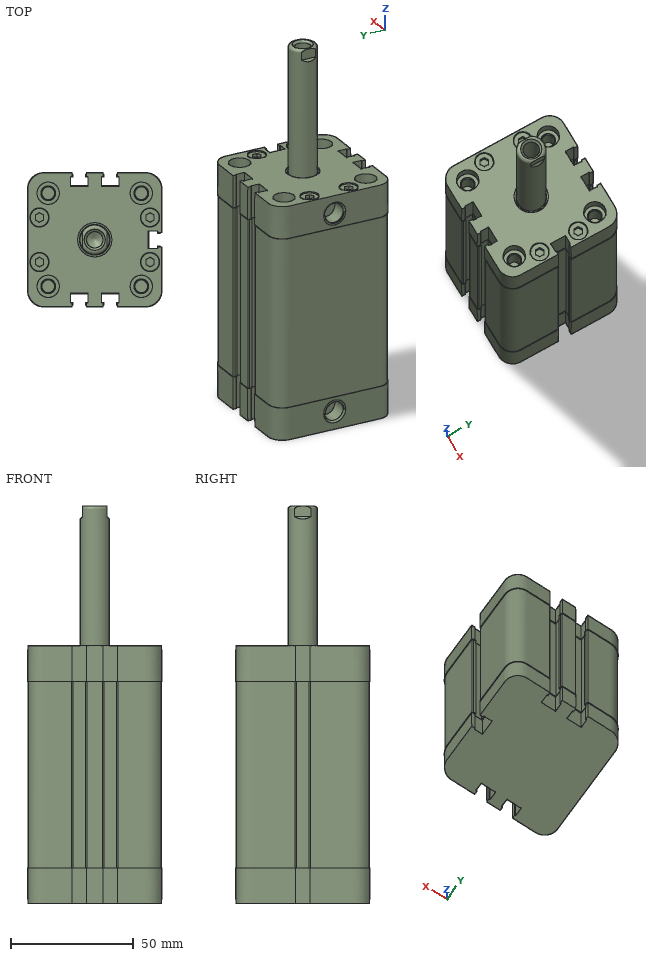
import cadquery as cq
import math

overall_height = 162.0
body_height = 105.1
cap_height = 14.5
barrel_height = body_height - 2 * cap_height

cap_width = 54.8
cap_draft = 0.4
barrel_width = 54.3
corner_center = 20.7

slot_offset = 6.3
slot_lip = 25.6
slot_wide = 7.0
cap_slot_neck = 6.0
cap_slot_floor = 21.7
barrel_slot_neck = 5.2
barrel_slot_floor = 22.0
barrel_slot_bevel = 0.5

rod_diameter = 12.0
rod_end_diameter = 9.0
rod_rounding_height = 1.1
flat_width = 10.0
flat_length = 4.4
flat_run_out_angle = 45.0
rod_bore_diameter = 6.6
rod_mouth_diameter = 8.6
rod_bore_depth = 19.5
drill_point_angle = 118.0

seal_mouth_diameter = 14.0
seal_mouth_depth = 0.5
seal_diameter = 12.5
seal_depth = 1.6

mount_offset = 19.0
mount_bore_diameter = 9.0
mount_bore_depth = 5.0
mount_hole_diameter = 5.2
mount_mouth_diameter = 6.0

screw_x = 22.5
screw_y = 9.0
screw_recess_diameter = 7.8
screw_recess_depth = 0.5
screw_head_diameter = 7.5
screw_gap_depth = 2.1
screw_socket_width = 3.4
screw_socket_depth = 2.1

port_diameter = 8.6
port_mouth_diameter = 10.2
port_end_distance = 8.1
inner_wall_diameter = 40.0


def rounded_square(width, height, draft=0.0):
    """Square prism standing on z = 0, rounded about the common corner centres."""
    outline = cq.Sketch().rect(width, width).vertices().fillet(width / 2 - corner_center)
    return cq.Workplane("XY").placeSketch(outline).extrude(height, taper=draft)


def t_slot(neck, floor, outer, height, bevel=0.0):
    """Cutter for one slot on the +X side, with an optional bevel at its mouth."""
    length = outer - floor
    slot = cq.Workplane("XY").box(length, neck, height, centered=(False, True, False))
    wide = cq.Workplane("XY").box(slot_lip - floor, slot_wide, height, centered=(False, True, False))
    slot = slot.union(wide).translate((floor, 0, 0))
    if bevel > 0:
        half = neck / 2
        mouth = (
            cq.Workplane("XY")
            .polyline([
                (outer - bevel, half),
                (outer, half + bevel),
                (outer, -half - bevel),
                (outer - bevel, -half),
            ])
            .close()
            .extrude(height)
        )
        slot = slot.union(mouth)
    return slot


def cut_slots(body, slot):
    """Cut the single slot on +X and the slot pairs on both Y sides."""
    body = body.cut(slot)
    for angle in (90, -90):
        turned = slot.rotate((0, 0, 0), (0, 0, 1), angle)
        for x in (-slot_offset, slot_offset):
            body = body.cut(turned.translate((x, 0, 0)))
    return body


def countersink(top_diameter, bottom_diameter, depth):
    """Conical cutter hanging down from z = 0."""
    return cq.Workplane("XZ").polyline([
        (0, 0), (top_diameter / 2, 0), (bottom_diameter / 2, -depth), (0, -depth),
    ]).close().revolve(360, (0, 0), (0, 1))


def air_port():
    """Port cutter along X with a 45-degree mouth, ending on the cap's inner wall."""
    port_z = cap_height - port_end_distance
    face_x = cap_width / 2 - port_z * math.tan(math.radians(cap_draft))
    mouth_depth = (port_mouth_diameter - port_diameter) / 2
    port = cq.Workplane("YZ").circle(port_diameter / 2).extrude(-cap_width / 2)
    mouth = countersink(port_mouth_diameter, port_diameter, mouth_depth)
    mouth = mouth.rotate((0, 0, 0), (0, 1, 0), -90).translate((-face_x, 0, 0))
    inner_wall = cq.Workplane("XY").circle(inner_wall_diameter / 2).extrude(cap_height)
    return port.union(mouth).translate((0, 0, port_z)).cut(inner_wall)


def make_cap():
    """Plain cap standing on its barrel face, with slots and an air port."""
    cap = rounded_square(cap_width, cap_height, cap_draft)
    cap = cut_slots(cap, t_slot(cap_slot_neck, cap_slot_floor, cap_width / 2, cap_height))
    return cap.cut(air_port())


def make_lower_cap():
    return make_cap().mirror("XY").translate((0, 0, cap_height))


def make_barrel():
    barrel = rounded_square(barrel_width, barrel_height)
    slot = t_slot(barrel_slot_neck, barrel_slot_floor, barrel_width / 2, barrel_height, barrel_slot_bevel)
    return cut_slots(barrel, slot).translate((0, 0, cap_height))


def cut_rod_opening(cap):
    """Rod bore with a ring of clearance and a shallow, wider recess at the top."""
    bore = cq.Workplane("XY").circle(rod_diameter / 2).extrude(cap_height)
    clearance = cq.Workplane("XY").circle(seal_diameter / 2).extrude(-seal_depth)
    mouth = cq.Workplane("XY").circle(seal_mouth_diameter / 2).extrude(-seal_mouth_depth)
    return cap.cut(bore).cut(clearance.union(mouth).translate((0, 0, cap_height)))


def cut_mounting_holes(cap):
    """Counterbored holes through the cap at its four corners."""
    mouth_depth = (mount_mouth_diameter - mount_hole_diameter) / 2
    mouth = countersink(mount_mouth_diameter, mount_hole_diameter, mouth_depth)
    hole = (
        cq.Workplane("XY").circle(mount_bore_diameter / 2).extrude(-mount_bore_depth)
        .union(cq.Workplane("XY").circle(mount_hole_diameter / 2).extrude(-cap_height))
        .union(mouth.translate((0, 0, -mount_bore_depth)))
    )
    for x in (-mount_offset, mount_offset):
        for y in (-mount_offset, mount_offset):
            cap = cap.cut(hole.translate((x, y, cap_height)))
    return cap


def cut_screw_heads(cap):
    """Recess, ring gap and hexagon socket of each sunk screw head."""
    socket_corners = screw_socket_width / math.cos(math.radians(30))
    recess = cq.Workplane("XY").circle(screw_recess_diameter / 2).extrude(-screw_recess_depth)
    gap = (
        cq.Workplane("XY")
        .circle(screw_recess_diameter / 2)
        .circle(screw_head_diameter / 2)
        .extrude(-screw_gap_depth)
    )
    socket = (
        cq.Workplane("XY")
        .transformed(rotate=(0, 0, 90))
        .polygon(6, socket_corners)
        .extrude(-screw_socket_depth)
    )
    head = recess.union(gap).union(socket)
    for x in (-screw_x, screw_x):
        for y in (-screw_y, screw_y):
            cap = cap.cut(head.translate((x, y, cap_height)))
    return cap


def make_upper_cap():
    cap = cut_rod_opening(make_cap())
    cap = cut_mounting_holes(cap)
    cap = cut_screw_heads(cap)
    return cap.translate((0, 0, body_height - cap_height))


def make_rod():
    """Rod from the barrel's upper face to the top, with wrench flats and a drilled end."""
    rod_length = overall_height - body_height + cap_height
    radius = rod_diameter / 2
    end_radius = rod_end_diameter / 2
    rod = (
        cq.Workplane("XZ")
        .lineTo(end_radius, 0)
        .tangentArcPoint((radius, -rod_rounding_height), relative=False)
        .lineTo(radius, -rod_length)
        .lineTo(0, -rod_length)
        .close()
        .revolve(360, (0, 0), (0, 1))
    )

    half_flat = flat_width / 2
    run_out = (radius - half_flat) * math.tan(math.radians(flat_run_out_angle))
    flat = cq.Workplane("XZ").polyline([
        (half_flat, 0),
        (half_flat, -flat_length),
        (radius, -flat_length - run_out),
        (radius, 0),
    ]).close().extrude(radius, both=True)
    rod = rod.cut(flat).cut(flat.mirror("YZ"))

    bore_radius = rod_bore_diameter / 2
    point_depth = bore_radius / math.tan(math.radians(drill_point_angle / 2))
    mouth_depth = (rod_mouth_diameter - rod_bore_diameter) / 2
    bore = cq.Workplane("XZ").polyline([
        (0, 0),
        (rod_mouth_diameter / 2, 0),
        (bore_radius, -mouth_depth),
        (bore_radius, -rod_bore_depth),
        (0, -rod_bore_depth - point_depth),
    ]).close().revolve(360, (0, 0), (0, 1))
    return rod.cut(bore).translate((0, 0, overall_height))


lower_cap = make_lower_cap()
barrel = make_barrel()
upper_cap = make_upper_cap()
rod = make_rod()

result = cq.Compound.makeCompound([
    lower_cap.val(),
    barrel.val(),
    upper_cap.val(),
    rod.val(),
])